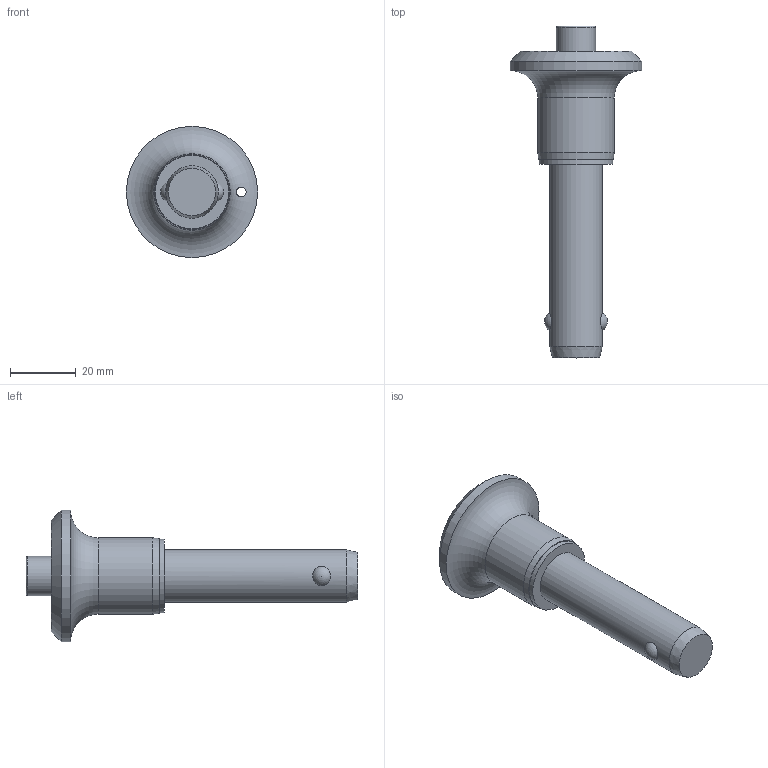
import cadquery as cq
import math


shank_radius = 8.0
shank_length = 59.1
tip_length = 3.5
tip_radius = 7.2
tip_bulge = 0.05

sleeve_radius = 11.65
sleeve_lip_radius = 11.2
sleeve_taper_radius = 11.4
sleeve_lip_height = 1.5
sleeve_taper_height = 3.6
sleeve_top = 20.15

rim_radius = 20.0
rim_thickness = 2.9
knob_chamfer = 3.0
neck_fillet = rim_radius - sleeve_radius
rim_bottom = sleeve_top + neck_fillet
rim_top = rim_bottom + rim_thickness
knob_top = rim_top + knob_chamfer

button_radius = 6.0
button_height = 7.7
button_fillet = 0.4
button_top = knob_top + button_height

ball_radius = 3.1
ball_span = 19.2
ball_to_tip = 11.1

lanyard_diameter = 3.0
lanyard_offset = 15.0


def make_body():
    """Half profile (radius along X, axis along Y) revolved about Y."""
    tip_y = -shank_length
    tip_mid = ((tip_radius + shank_radius) / 2 + tip_bulge, tip_y + tip_length / 2)
    neck_inset = neck_fillet * math.sqrt(0.5)
    neck_mid = (rim_radius - neck_inset, sleeve_top + neck_inset)
    profile = (
        cq.Workplane("XY")
        .moveTo(0, tip_y)
        .lineTo(tip_radius, tip_y)
        .threePointArc(tip_mid, (shank_radius, tip_y + tip_length))
        .lineTo(shank_radius, 0)
        .lineTo(sleeve_lip_radius, 0)
        .lineTo(sleeve_lip_radius, sleeve_lip_height)
        .lineTo(sleeve_taper_radius, sleeve_lip_height)
        .lineTo(sleeve_radius, sleeve_taper_height)
        .lineTo(sleeve_radius, sleeve_top)
        .threePointArc(neck_mid, (rim_radius, rim_bottom))
        .lineTo(rim_radius, rim_top)
        .lineTo(rim_radius - knob_chamfer, knob_top)
        .lineTo(button_radius, knob_top)
        .lineTo(button_radius, button_top - button_fillet)
        .radiusArc((button_radius - button_fillet, button_top), -button_fillet)
        .lineTo(0, button_top)
        .close()
    )
    return profile.revolve(360, (0, 0, 0), (0, 1, 0))


def add_locking_balls(body):
    """Two balls standing proud of the shank on opposite sides along X."""
    ball_x = ball_span / 2 - ball_radius
    ball_y = ball_to_tip - shank_length
    for side in (-1, 1):
        ball = (
            cq.Workplane("XY")
            .center(side * ball_x, ball_y)
            .moveTo(-ball_radius, 0)
            .threePointArc((0, ball_radius), (ball_radius, 0))
            .close()
            .revolve(360, (0, 0, 0), (1, 0, 0))
        )
        body = body.union(ball)
    return body


def cut_lanyard_hole(body):
    """Hole parallel to the pin axis, through the neck flare and the knob."""
    drill = (
        cq.Workplane("XZ")
        .center(lanyard_offset, 0)
        .circle(lanyard_diameter / 2)
        .extrude(-button_top)
    )
    return body.cut(drill)


result = cut_lanyard_hole(add_locking_balls(make_body()))